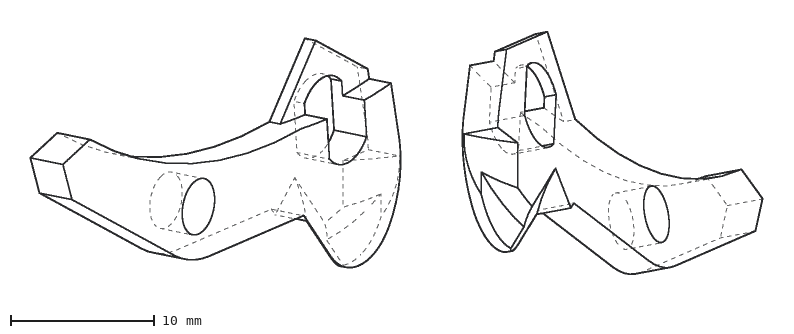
import cadquery as cq
import math


THICKNESS = 2.76
STEP = THICKNESS / 3

PIVOT_DIAMETER = 4.0
ARM_BOTTOM_Z = -3.96
ARM_TOP_RADIUS = 43.8
ARM_RISE_ANGLE = math.radians(30)
BEND_RADIUS = 8.5
TIP_TOP = (-13.37, 8.31)
TIP_END = (-16.70, 7.33)
TIP_BOTTOM = (-15.58, 4.48)

HEAD_TOP_NECK = (12.76, 2.45)
HEAD_PEAK = (17.14, 7.43)
HEAD_SHOULDER = (23.57, 3.72)
HEAD_SIDE_END = (24.80, -1.50)
HEAD_ROUND_JOIN = (23.47, -7.48)
HEAD_BOTTOM_NECK_Y = 12.99
NECK_ANGLE = math.radians(49)
NECK_LENGTH = 5.05

SLOT_CENTER = (18.25, 1.50)
SLOT_DIAMETER = 6.0
SLOT_WIDTH = 4.6
SLOT_TILT = 5.7

RECESS_RADIUS = 50.0
RECESS_END = (23.9, 2.98)

LIP_ARC_CENTER = (15.99, 12.07)
LIP_ARC_RADIUS = 19.04

SCOOP_WIDTH = 3.2
SCOOP_RADIUS = 18.0
SCOOP_EDGE = 0.1
SCOOP_LENGTH = 8.5
SIDE_SCOOP_START = (21.79, -2.67)
NECK_SCOOP_SETBACK = 0.71

CLEARANCE = 2.0


def yz_plane(x):
    """Workplane at the given X whose local axes are Y and Z."""
    return cq.Workplane("YZ", origin=(x, 0, 0))


def circle_bottom_z(center, radius, y):
    """Z of the lower half of a circle at the given Y."""
    return center[1] - math.sqrt(radius**2 - (y - center[0]) ** 2)


NECK_DOWN = (math.cos(NECK_ANGLE), -math.sin(NECK_ANGLE))
NECK_OUT = (-math.sin(NECK_ANGLE), -math.cos(NECK_ANGLE))
HEAD_BOTTOM_NECK = (HEAD_BOTTOM_NECK_Y, ARM_BOTTOM_Z)


def along(point, direction, distance):
    """Point moved by a distance along a unit direction."""
    return (point[0] + distance * direction[0], point[1] + distance * direction[1])


def make_blank():
    """Full-thickness lever outline."""
    bend_y = TIP_BOTTOM[0] + (TIP_BOTTOM[1] - ARM_BOTTOM_Z) / math.tan(ARM_RISE_ANGLE)
    tangent_length = BEND_RADIUS * math.tan(ARM_RISE_ANGLE / 2)
    rise_start = along(
        (bend_y, ARM_BOTTOM_Z),
        (-math.cos(ARM_RISE_ANGLE), math.sin(ARM_RISE_ANGLE)),
        tangent_length,
    )
    return (
        yz_plane(0)
        .moveTo(*HEAD_SIDE_END)
        .lineTo(*HEAD_SHOULDER)
        .lineTo(*HEAD_PEAK)
        .lineTo(*HEAD_TOP_NECK)
        .radiusArc(TIP_TOP, ARM_TOP_RADIUS)
        .lineTo(*TIP_END)
        .lineTo(*TIP_BOTTOM)
        .lineTo(*rise_start)
        .radiusArc((bend_y + tangent_length, ARM_BOTTOM_Z), -BEND_RADIUS)
        .lineTo(*HEAD_BOTTOM_NECK)
        .lineTo(*along(HEAD_BOTTOM_NECK, NECK_DOWN, NECK_LENGTH))
        .tangentArcPoint(HEAD_ROUND_JOIN, relative=False)
        .tangentArcPoint(HEAD_SIDE_END, relative=False)
        .close()
        .extrude(THICKNESS)
    )


def make_pivot_hole():
    return yz_plane(0).circle(PIVOT_DIAMETER / 2).extrude(THICKNESS)


def make_slot():
    """Round hole trimmed by a tilted band."""
    center_plane = yz_plane(0).center(*SLOT_CENTER)
    band = (
        center_plane.transformed(rotate=(0, 0, SLOT_TILT))
        .rect(SLOT_WIDTH, SLOT_DIAMETER)
        .extrude(THICKNESS)
    )
    return center_plane.circle(SLOT_DIAMETER / 2).extrude(THICKNESS).intersect(band)


def make_recess():
    """Space above the recess arc, leaving one third of the thickness on the -X side."""
    top_z = HEAD_PEAK[1] + CLEARANCE
    return (
        yz_plane(STEP)
        .moveTo(*HEAD_TOP_NECK)
        .radiusArc(RECESS_END, -RECESS_RADIUS)
        .lineTo(RECESS_END[0] + CLEARANCE, RECESS_END[1])
        .lineTo(RECESS_END[0] + CLEARANCE, top_z)
        .lineTo(HEAD_TOP_NECK[0], top_z)
        .close()
        .extrude(THICKNESS - STEP)
    )


def make_lip_step():
    """Space below the lip arc, leaving one third of the thickness on the +X side."""
    inner_y = LIP_ARC_CENTER[0] - CLEARANCE / 2
    outer_y = HEAD_SIDE_END[0] + CLEARANCE
    bottom_z = HEAD_ROUND_JOIN[1] - 2 * CLEARANCE
    return (
        yz_plane(0)
        .moveTo(inner_y, bottom_z)
        .lineTo(inner_y, circle_bottom_z(LIP_ARC_CENTER, LIP_ARC_RADIUS, inner_y))
        .radiusArc(
            (outer_y, circle_bottom_z(LIP_ARC_CENTER, LIP_ARC_RADIUS, outer_y)),
            -LIP_ARC_RADIUS,
        )
        .lineTo(outer_y, bottom_z)
        .close()
        .extrude(THICKNESS - STEP)
    )


def make_scoop(start, outward, length):
    """Concave cut that deepens outward from a straight edge beginning at start.

    The sign of length picks the direction along the edge.
    """
    out_axis = cq.Vector(0, *outward)
    depth_axis = cq.Vector(1, 0, 0)
    plane = cq.Plane(origin=(0, *start), xDir=out_axis, normal=out_axis.cross(depth_axis))
    rim_depth = THICKNESS - SCOOP_EDGE
    return (
        cq.Workplane(plane)
        .moveTo(0, 0)
        .radiusArc((SCOOP_WIDTH, rim_depth), SCOOP_RADIUS)
        .lineTo(SCOOP_WIDTH + CLEARANCE, rim_depth)
        .lineTo(SCOOP_WIDTH + CLEARANCE, 0)
        .close()
        .extrude(length)
    )


neck_scoop_rim = along(HEAD_BOTTOM_NECK, NECK_DOWN, NECK_SCOOP_SETBACK)
neck_scoop_start = along(neck_scoop_rim, NECK_OUT, -SCOOP_WIDTH)

result = (
    make_blank()
    .cut(make_pivot_hole())
    .cut(make_slot())
    .cut(make_recess())
    .cut(make_lip_step())
    .cut(make_scoop(SIDE_SCOOP_START, (1, 0), SCOOP_LENGTH))
    .cut(make_scoop(neck_scoop_start, NECK_OUT, -SCOOP_LENGTH))
)